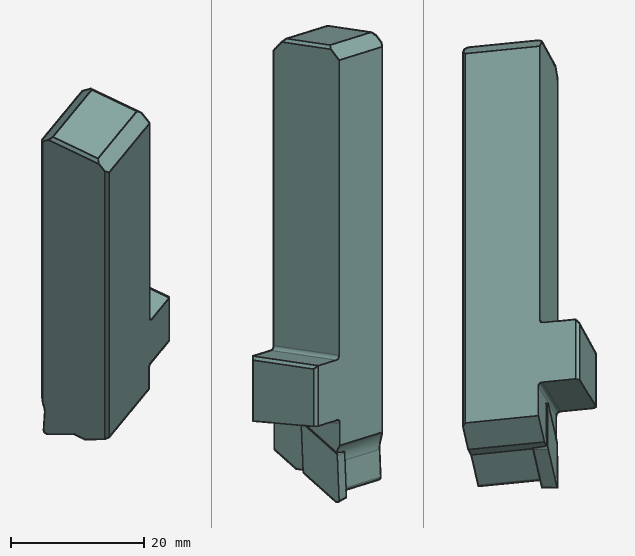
import cadquery as cq
import math

overall_height = 70.0
shank_width = 12.0
half_width = shank_width / 2
front_y = -half_width
back_y = half_width
tang_length = 6.0
tang_end_y = back_y + tang_length
tang_top_z = 22.05
tang_bottom_z = 12.45
tang_underside_tilt = 3.0
tang_fillet = 0.6
edge_chamfer = 0.5
top_side_chamfer = 4 * edge_chamfer
seat_recess = 0.2

insert_thickness = 2.4
insert_inscribed_diameter = 6.4
insert_point_angle = 55.0
insert_relief_angle = 7.0
insert_tip_radius = 0.4
insert_lean = 2.8

nose_inset = 0.55
nose_radius = 0.55
nose_shelf_z = 4.1
side_relief_top_z = 8.75
side_relief_radius = 4.35
right_side_bottom_z = 6.65


def along(point, angle, distance):
    """Point reached from an XZ point by moving a distance at an angle in degrees from +X."""
    return (
        point[0] + distance * math.cos(math.radians(angle)),
        point[1] + distance * math.sin(math.radians(angle)),
    )


side_edge_angle = 90.0 - insert_lean
end_edge_angle = side_edge_angle - insert_point_angle
bisector_angle = (side_edge_angle + end_edge_angle) / 2
half_point_sine = math.sin(math.radians(insert_point_angle / 2))

tip_arc_centre = (-half_width + insert_tip_radius, insert_tip_radius)
sharp_tip = along(tip_arc_centre, bisector_angle, -insert_tip_radius / half_point_sine)


def make_insert():
    """Rhombic plate with rounded corners, narrowing from its rear face to its front face."""
    edge_length = insert_inscribed_diameter / math.sin(math.radians(insert_point_angle))
    upper_corner = along(sharp_tip, side_edge_angle, edge_length)
    far_corner = along(upper_corner, end_edge_angle, edge_length)
    inner_corner = along(sharp_tip, end_edge_angle, edge_length)
    outline = (
        cq.Sketch()
        .polygon([sharp_tip, upper_corner, far_corner, inner_corner, sharp_tip])
        .vertices()
        .fillet(insert_tip_radius)
    )
    return (
        cq.Workplane("XZ", origin=(0, back_y, 0))
        .placeSketch(outline)
        .extrude(insert_thickness, taper=insert_relief_angle)
    )


def front_profile():
    """Outline in XZ: side chamfers at the top, side relief and pointed nose at the bottom."""
    nose_corner = along(sharp_tip, bisector_angle, nose_inset / half_point_sine)
    nose_centre = along(nose_corner, bisector_angle, nose_radius / half_point_sine)
    nose_side = along(nose_centre, side_edge_angle + 90, nose_radius)
    nose_middle = along(nose_centre, bisector_angle, -nose_radius)
    nose_end = along(nose_centre, end_edge_angle - 90, nose_radius)

    end_slope = math.tan(math.radians(end_edge_angle))
    shelf_start_x = nose_corner[0] + (nose_shelf_z - nose_corner[1]) / end_slope
    shelf_end_x = half_width - (right_side_bottom_z - nose_shelf_z) / end_slope

    relief_top = (-half_width, side_relief_top_z)
    lean = math.radians(insert_lean)
    step_x = relief_top[0] - nose_side[0]
    step_z = relief_top[1] - nose_side[1]
    top_along = step_x * math.sin(lean) + step_z * math.cos(lean)
    top_outside = step_z * math.sin(lean) - step_x * math.cos(lean)
    arc_rise = math.sqrt(side_relief_radius**2 - (side_relief_radius - top_outside) ** 2)
    relief_bottom = along(nose_side, side_edge_angle, top_along - arc_rise)

    return (
        cq.Workplane("XZ", origin=(0, tang_end_y, 0))
        .moveTo(*nose_side)
        .threePointArc(nose_middle, nose_end)
        .lineTo(shelf_start_x, nose_shelf_z)
        .lineTo(shelf_end_x, nose_shelf_z)
        .lineTo(half_width, right_side_bottom_z)
        .lineTo(half_width, overall_height - top_side_chamfer)
        .lineTo(half_width - top_side_chamfer, overall_height)
        .lineTo(-half_width + top_side_chamfer, overall_height)
        .lineTo(-half_width, overall_height - top_side_chamfer)
        .lineTo(*relief_top)
        .radiusArc(relief_bottom, side_relief_radius)
        .close()
        .extrude(tang_end_y - front_y)
    )


def plan_profile():
    """Full-height block over shank and tang with its four upright edges chamfered."""
    return (
        cq.Workplane("XY")
        .center(0, (front_y + tang_end_y) / 2)
        .rect(shank_width, tang_end_y - front_y)
        .extrude(overall_height)
        .edges("|Z")
        .chamfer(edge_chamfer)
    )


def side_profile():
    """Outline in YZ: chamfered top edges and the upper side of the tang."""
    shank_top_z = overall_height - edge_chamfer
    return (
        cq.Workplane("YZ", origin=(-half_width, 0, 0))
        .moveTo(front_y, 0)
        .lineTo(front_y, shank_top_z)
        .lineTo(front_y + edge_chamfer, overall_height)
        .lineTo(back_y - edge_chamfer, overall_height)
        .lineTo(back_y, shank_top_z)
        .lineTo(back_y, tang_top_z + tang_fillet)
        .radiusArc((back_y + tang_fillet, tang_top_z), -tang_fillet)
        .lineTo(tang_end_y - edge_chamfer, tang_top_z)
        .lineTo(tang_end_y, tang_top_z - edge_chamfer)
        .lineTo(tang_end_y, 0)
        .close()
        .extrude(shank_width)
    )


def space_below_tang():
    """Space under the tilted tang underside and behind the set-back rear face."""
    seat_y = back_y - seat_recess
    space_depth = tang_end_y - seat_y
    space_height = 2 * tang_bottom_z
    space_width = 2 * shank_width
    return (
        cq.Workplane("XY")
        .box(space_width, space_depth, space_height, centered=(True, False, False))
        .edges("<Y and >Z")
        .fillet(tang_fillet)
        .translate((0, seat_y, -space_height))
        .rotate((0, 0, 0), (0, 1, 0), tang_underside_tilt)
        .translate((0, 0, tang_bottom_z))
    )


insert = make_insert()
holder = (
    front_profile()
    .intersect(plan_profile())
    .intersect(side_profile())
    .cut(space_below_tang())
    .cut(insert)
)

result = cq.Compound.makeCompound([holder.solids().val(), insert.val()])